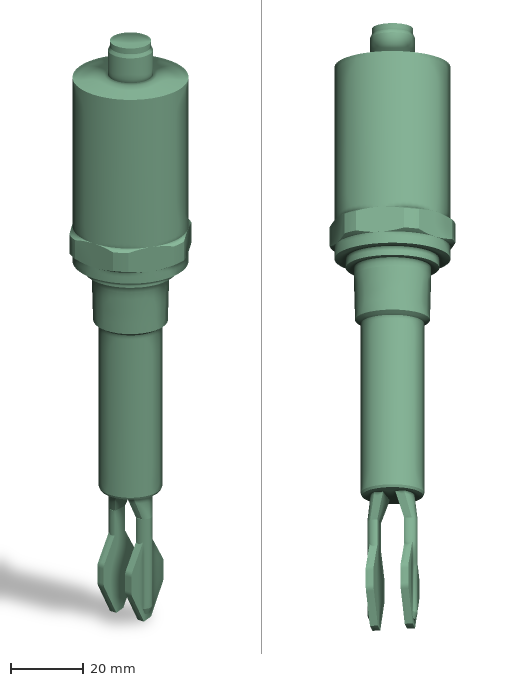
import cadquery as cq
import math

TOTAL_HEIGHT = 172.3

ROD_BOTTOM = 38.0
ROD_TOP = 87.5
THREAD_BOTTOM = 88.5
THREAD_RELIEF = 101.0
COLLAR_BOTTOM = 103.5
FLANGE_BOTTOM = 106.1
HEX_BOTTOM = 109.4
HEX_TOP = 116.6
HOUSING_TOP = 161.3
CAP_TOP = 162.1
PLUG_SHOULDER = 169.5
PLUG_NECK = 170.5

ROD_RADIUS = 8.8
ROD_CHAMFER_WIDTH = 0.3
ROD_CHAMFER_HEIGHT = 0.7
THREAD_SMALL_RADIUS = 10.3
THREAD_RADIUS = 10.7
COLLAR_RADIUS = 13.0
HOUSING_RADIUS = 16.0
CAP_RADIUS = 7.2
PLUG_RADIUS = 6.2
PLUG_TIP_RADIUS = 5.7

HEX_FLATS = 2 * HOUSING_RADIUS
HEX_CORNER_RADIUS = 17.4
HEX_BEVEL_ANGLE = 30.0

STEM_RADIUS = 2.4
TINE_INNER = 3.8
TINE_OUTER = 7.0
STEM_AXIS = TINE_OUTER - STEM_RADIUS
STEM_TOP = 30.8
STEM_BOTTOM = 2.0
STEM_CONE_HEIGHT = 1.9
STEM_CONE_WIDTH = 0.7
PADDLE_THICKNESS = 2.2
PADDLE_OUTER = TINE_INNER + PADDLE_THICKNESS
PADDLE_TOP = 24.0
PADDLE_HALF_WIDTH = 7.0
PADDLE_UPPER_CORNER = 15.9
PADDLE_LOWER_CORNER = 9.8
PADDLE_CORNER_RADIUS = 2.5
PADDLE_TIP_HALF_WIDTH = 1.5
PADDLE_TIP_RISE = 0.5

ROOT_HALF_WIDTH = 4.5
ROOT_FLAT_END = 4.1
ROOT_OUTER = 6.0
ROOT_INNER = 1.5
ROOT_LOWER_FLAT_END = 5.9
ROOT_OVERLAP = 0.5
GAP_TOP_HALF_WIDTH = 1.7


def turned_body():
    """Rod, tapered thread, collar, flange, housing and plug as one revolved profile."""
    profile = [
        (0, ROD_BOTTOM),
        (ROD_RADIUS - ROD_CHAMFER_WIDTH, ROD_BOTTOM),
        (ROD_RADIUS, ROD_BOTTOM + ROD_CHAMFER_HEIGHT),
        (ROD_RADIUS, ROD_TOP),
        (THREAD_SMALL_RADIUS, THREAD_BOTTOM),
        (THREAD_RADIUS, THREAD_RELIEF),
        (THREAD_RADIUS, COLLAR_BOTTOM),
        (COLLAR_RADIUS, COLLAR_BOTTOM),
        (COLLAR_RADIUS, FLANGE_BOTTOM),
        (HOUSING_RADIUS, FLANGE_BOTTOM),
        (HOUSING_RADIUS, HOUSING_TOP),
        (CAP_RADIUS, CAP_TOP),
        (PLUG_RADIUS, CAP_TOP),
        (PLUG_RADIUS, PLUG_SHOULDER),
        (PLUG_TIP_RADIUS, PLUG_NECK),
        (PLUG_TIP_RADIUS, TOTAL_HEIGHT),
        (0, TOTAL_HEIGHT),
    ]
    return cq.Workplane("XZ").polyline(profile).close().revolve(360, (0, 0, 0), (0, 1, 0))


def hexagon():
    """Wrench hexagon with corners on the X axis, turned and bevelled at its corners."""
    height = HEX_TOP - HEX_BOTTOM
    bevel_width = HEX_CORNER_RADIUS - HEX_FLATS / 2
    bevel_height = bevel_width * math.tan(math.radians(HEX_BEVEL_ANGLE))
    corner_diameter = HEX_FLATS / math.cos(math.pi / 6)
    base = cq.Workplane("XY").workplane(offset=HEX_BOTTOM)
    prism = base.polygon(6, corner_diameter).extrude(height)
    blank = base.circle(HEX_CORNER_RADIUS).extrude(height)
    envelope = blank.faces("<Z or >Z").edges().chamfer(bevel_height, bevel_width)
    return prism.intersect(envelope)


def root_section(plane, inner_half_width, outer_half_width, flat_end, outer):
    """Flat-sided section with a rounded outer end."""
    return (
        plane.moveTo(ROOT_INNER, -inner_half_width)
        .lineTo(flat_end, -outer_half_width)
        .threePointArc((outer, 0), (flat_end, outer_half_width))
        .lineTo(ROOT_INNER, inner_half_width)
        .close()
    )


def fork_root():
    """Tapering root of the +X tine, leaning in towards the axis on its inner side."""
    stem_flat = math.sqrt(STEM_RADIUS**2 - (ROOT_LOWER_FLAT_END - STEM_AXIS) ** 2)
    root_height = ROD_BOTTOM + ROOT_OVERLAP - STEM_TOP
    lower = root_section(
        cq.Workplane("XY").workplane(offset=STEM_TOP),
        STEM_RADIUS, stem_flat, ROOT_LOWER_FLAT_END, TINE_OUTER,
    )
    root = root_section(
        lower.workplane(offset=root_height),
        ROOT_HALF_WIDTH, ROOT_HALF_WIDTH, ROOT_FLAT_END, ROOT_OUTER,
    ).loft(ruled=True)
    gap = (
        cq.Workplane("XZ")
        .moveTo(0, STEM_TOP)
        .lineTo(TINE_INNER, STEM_TOP)
        .lineTo(GAP_TOP_HALF_WIDTH, ROD_BOTTOM)
        .lineTo(0, ROD_BOTTOM)
        .close()
        .extrude(ROOT_HALF_WIDTH, both=True)
    )
    return root.cut(gap)


def stem():
    """Round stem of the +X tine: flat inner side, lower end narrowed by a steep cone."""
    round_bar = (
        cq.Workplane("XY")
        .workplane(offset=STEM_BOTTOM)
        .center(STEM_AXIS, 0)
        .circle(STEM_RADIUS)
        .extrude(STEM_TOP - STEM_BOTTOM)
        .faces("<Z")
        .edges()
        .chamfer(STEM_CONE_HEIGHT, STEM_CONE_WIDTH)
    )
    inner_side = cq.Workplane("XY").box(2 * TINE_INNER, 2 * TINE_OUTER, 2 * STEM_TOP)
    return round_bar.cut(inner_side)


def paddle():
    """Flat paddle of the +X tine with rounded side corners and a slanted tip."""
    neck_half_width = math.sqrt(STEM_RADIUS**2 - (PADDLE_OUTER - STEM_AXIS) ** 2)
    outline = [
        (-neck_half_width, PADDLE_TOP),
        (-PADDLE_HALF_WIDTH, PADDLE_UPPER_CORNER),
        (-PADDLE_HALF_WIDTH, PADDLE_LOWER_CORNER),
        (-PADDLE_TIP_HALF_WIDTH, 0),
        (PADDLE_TIP_HALF_WIDTH, PADDLE_TIP_RISE),
        (PADDLE_HALF_WIDTH, PADDLE_LOWER_CORNER),
        (PADDLE_HALF_WIDTH, PADDLE_UPPER_CORNER),
        (neck_half_width, PADDLE_TOP),
    ]
    blank = cq.Workplane("YZ").workplane(offset=TINE_INNER).polyline(outline).close()
    reach = PADDLE_CORNER_RADIUS
    side_corners = cq.selectors.BoxSelector(
        (0, -2 * PADDLE_HALF_WIDTH, PADDLE_LOWER_CORNER - reach),
        (TINE_OUTER, 2 * PADDLE_HALF_WIDTH, PADDLE_UPPER_CORNER + reach),
    )
    plate = blank.extrude(PADDLE_THICKNESS)
    return plate.edges("|X").edges(side_corners).fillet(PADDLE_CORNER_RADIUS)


tine = fork_root().union(stem()).union(paddle())
result = turned_body().union(hexagon()).union(tine).union(tine.mirror("YZ"))